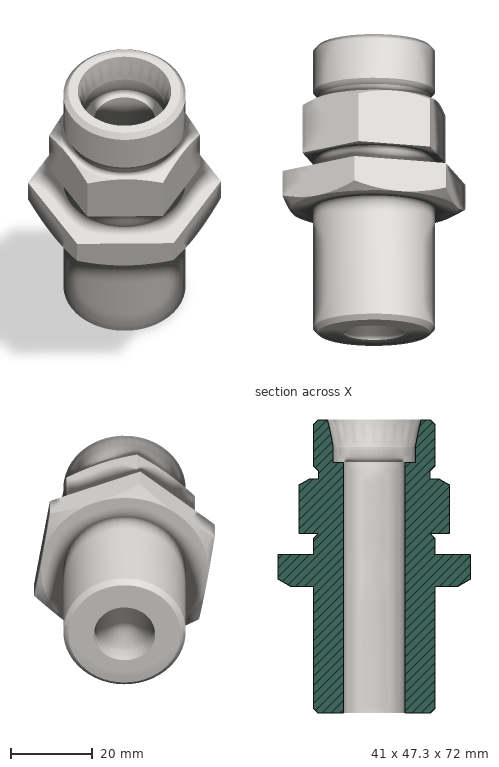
import cadquery as cq
import math

total_height = 72.0
body_diameter = 30.0
end_chamfer = 1.2

nut_flats = 41.0
nut_bottom = 31.0
nut_top = 39.0

hex_flats = 32.0
hex_bottom = 44.0
hex_top = 57.45
bevel_angle = 30.0

neck_diameter = 27.6
neck_top = 59.5

bore_diameter = 15.0
socket_diameter = 20.0
mouth_diameter = 22.9
seat_half_angle = 12.0
socket_depth = 10.5


def cylinder(diameter, bottom, top):
    return cq.Workplane("XY").workplane(offset=bottom).circle(diameter / 2).extrude(top - bottom)


def chamfered_cylinder(bottom, top, edges):
    return cylinder(body_diameter, bottom, top).edges(edges).chamfer(end_chamfer)


def bevelled_hexagon(flats, plain_z, bevel_z):
    """Hexagon with flats facing +/-X, its corners cut by a cone at bevel_z."""
    flat_radius = flats / 2
    corner_radius = flat_radius / math.cos(math.pi / 6)
    toward_plain = math.copysign(1, plain_z - bevel_z)
    bevel_height = (corner_radius - flat_radius) * math.tan(math.radians(bevel_angle))
    corner_z = bevel_z + toward_plain * bevel_height
    prism = (
        cq.Workplane("XY")
        .workplane(offset=min(plain_z, bevel_z))
        .polygon(6, 2 * corner_radius)
        .extrude(abs(plain_z - bevel_z))
        .rotate((0, 0, 0), (0, 0, 1), 30)
    )
    envelope = (
        cq.Workplane("XZ")
        .moveTo(0, plain_z)
        .lineTo(corner_radius, plain_z)
        .lineTo(corner_radius, corner_z)
        .lineTo(flat_radius, bevel_z)
        .lineTo(0, bevel_z)
        .close()
        .revolve(360, (0, 0, 0), (0, 1, 0))
    )
    return prism.intersect(envelope)


def stepped_bore():
    bore_radius = bore_diameter / 2
    socket_radius = socket_diameter / 2
    mouth_radius = mouth_diameter / 2
    socket_floor = total_height - socket_depth
    seat_depth = (mouth_radius - socket_radius) / math.tan(math.radians(seat_half_angle))
    return (
        cq.Workplane("XZ")
        .lineTo(bore_radius, 0)
        .lineTo(bore_radius, socket_floor)
        .lineTo(socket_radius, socket_floor)
        .lineTo(socket_radius, total_height - seat_depth)
        .lineTo(mouth_radius, total_height)
        .lineTo(0, total_height)
        .close()
        .revolve(360, (0, 0, 0), (0, 1, 0))
    )


lower_body = chamfered_cylinder(0, hex_bottom, "%CIRCLE")
neck = cylinder(neck_diameter, hex_top, neck_top)
upper_body = chamfered_cylinder(neck_top, total_height, "%CIRCLE")
large_hexagon = bevelled_hexagon(nut_flats, nut_top, nut_bottom)
small_hexagon = bevelled_hexagon(hex_flats, hex_bottom, hex_top)

result = (
    lower_body.union(large_hexagon)
    .union(small_hexagon)
    .union(neck)
    .union(upper_body)
    .cut(stepped_bore())
)